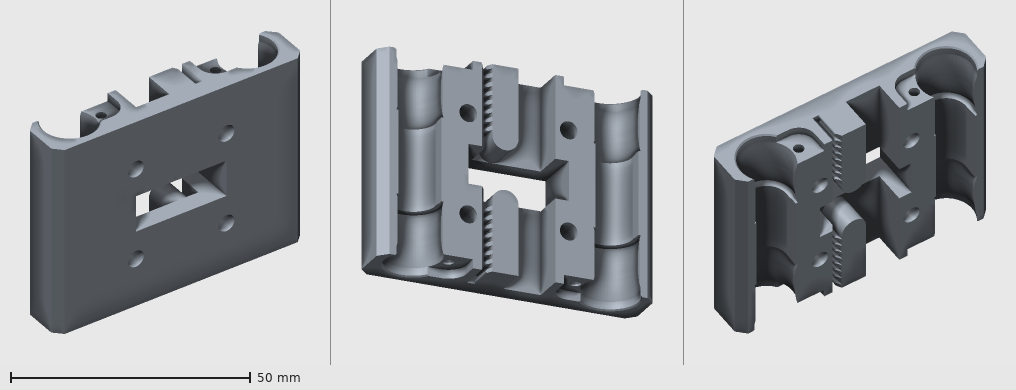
import cadquery as cq

THICKNESS = 12.0
LENGTH = 63.0
HEIGHT = 47.0
CORNER_CHAMFER = 2.0

CHANNEL_Y = 22.5
CHANNEL_X = 3.5
CHANNEL_RADIUS = 5.0
OPENING_NARROWING = 0.03
SEAT_RADIUS = 6.4
SEAT_NECK_RADIUS = 5.8
SEAT_OPENING = 10.2
SEAT_DEPTH = 14.0
SEAT_RIM_LENGTH = 2.0
NECK_LENGTH = 2.0
RIM_CHAMFER = 0.3
BORE_LIP_RADIUS = 5.4
BORE_LIP_LENGTH = 0.2

RECESS_X = 7.55
POCKET_DEPTH = 2.0
POCKET_EDGE_Y = 10.4
POCKET_CORNER_RADIUS = 4.05
SCREW_Y = 14.5
SCREW_RADIUS = 1.2
SCREW_DEPTH = 6.3

MOUNT_OFFSET = 11.45
MOUNT_RADIUS = 2.0
WINDOW_LENGTH = 2 * MOUNT_OFFSET
WINDOW_HEIGHT = 9.0

RECESS_LOW_Y = -8.4
BELT_WALL_Y = 7.4
BELT_LEAD_WIDTH = 1.0
BELT_LEAD_LENGTH = 1.45
POST_WIDTH = 6.0
TOOTH_COUNT = 8
TOOTH_RADIUS = 0.5
TOOTH_HEIGHT = 0.9
FIRST_TOOTH_Z = 9.1
LAST_TOOTH_Z = 23.05
TOOTH_PITCH = (LAST_TOOTH_Z - FIRST_TOOTH_Z) / (TOOTH_COUNT - 1)

HALF_HEIGHT = HEIGHT / 2


def box(x_range, y_range, z_range):
    """Axis-aligned box between the given pairs of limits."""
    low, high = zip(x_range, y_range, z_range)
    size = [b - a for a, b in zip(low, high)]
    return cq.Workplane("XY").box(*size, centered=False).translate(low)


def mirrored_in_z(shape):
    """Shape joined with its mirror image below Z = 0."""
    return shape.union(shape.mirror("XY"))


def channel_cutter(channel_y):
    """Channel with barrel-shaped seats, open to the front face."""
    inner_z = HALF_HEIGHT - SEAT_DEPTH
    rim_z = HALF_HEIGHT - SEAT_RIM_LENGTH
    neck_mid_z = (inner_z + rim_z) / 2
    neck_low_z = neck_mid_z - NECK_LENGTH / 2
    neck_high_z = neck_mid_z + NECK_LENGTH / 2

    flare_length = neck_low_z - inner_z
    rise = SEAT_RADIUS - SEAT_NECK_RADIUS
    flare_radius = (flare_length**2 + rise**2) / (2 * rise)
    seat = (
        cq.Workplane("XZ")
        .lineTo(CHANNEL_RADIUS, 0)
        .lineTo(CHANNEL_RADIUS, inner_z - BORE_LIP_LENGTH)
        .lineTo(BORE_LIP_RADIUS, inner_z)
        .lineTo(SEAT_RADIUS, inner_z)
        .radiusArc((SEAT_NECK_RADIUS, neck_low_z), flare_radius)
        .lineTo(SEAT_NECK_RADIUS, neck_high_z)
        .radiusArc((SEAT_RADIUS, rim_z), flare_radius)
        .lineTo(SEAT_RADIUS, HALF_HEIGHT - RIM_CHAMFER)
        .lineTo(SEAT_RADIUS + RIM_CHAMFER, HALF_HEIGHT)
        .lineTo(0, HALF_HEIGHT)
        .close()
        .revolve(360, (0, 0), (0, 1))
        .translate((CHANNEL_X, channel_y, 0))
    )
    half_opening = SEAT_OPENING / 2
    seat_opening = box(
        (0, CHANNEL_X),
        (channel_y - half_opening, channel_y + half_opening),
        (inner_z, HALF_HEIGHT),
    )
    half_channel = CHANNEL_RADIUS - OPENING_NARROWING
    channel_opening = box(
        (0, CHANNEL_X),
        (channel_y - half_channel, channel_y + half_channel),
        (-HALF_HEIGHT, HALF_HEIGHT),
    )
    return mirrored_in_z(seat.union(seat_opening)).union(channel_opening)


def pocket_cutter(side):
    """Shallow end pockets and screw holes on one side (+1 or -1) of Y = 0."""
    floor_z = HALF_HEIGHT - POCKET_DEPTH
    pocket = (
        box((0, RECESS_X), (POCKET_EDGE_Y, CHANNEL_Y), (floor_z, HALF_HEIGHT))
        .edges("|Z and >X and <Y")
        .fillet(POCKET_CORNER_RADIUS)
    )
    screw_hole = (
        cq.Workplane("XY", origin=(CHANNEL_X, SCREW_Y, floor_z))
        .circle(SCREW_RADIUS)
        .extrude(-SCREW_DEPTH)
    )
    cutter = mirrored_in_z(pocket.union(screw_hole))
    return cutter if side > 0 else cutter.mirror("XZ")


def belt_recess_cutter():
    """Full-height recess; its belt wall has lead-ins at the front and both ends."""
    recess = box((0, RECESS_X), (RECESS_LOW_Y, BELT_WALL_Y), (-HALF_HEIGHT, HALF_HEIGHT))
    mouth_y = BELT_WALL_Y + BELT_LEAD_WIDTH
    front_lead = (
        cq.Workplane("XY", origin=(0, 0, -HALF_HEIGHT))
        .polyline([(0, BELT_WALL_Y), (0, mouth_y), (BELT_LEAD_LENGTH, BELT_WALL_Y)])
        .close()
        .extrude(HEIGHT)
    )
    lead_end_z = HALF_HEIGHT - BELT_LEAD_LENGTH
    end_lead = (
        cq.Workplane("YZ")
        .polyline([(BELT_WALL_Y, HALF_HEIGHT), (mouth_y, HALF_HEIGHT), (BELT_WALL_Y, lead_end_z)])
        .close()
        .extrude(RECESS_X)
    )
    return recess.union(front_lead).union(mirrored_in_z(end_lead))


def belt_post():
    """Upper post: round lower end, belt teeth on its +Y side."""
    end_radius = POST_WIDTH / 2
    round_z = WINDOW_HEIGHT / 2 + end_radius
    post = box((0, RECESS_X), (0, POST_WIDTH), (round_z, HALF_HEIGHT)).union(
        cq.Workplane("YZ", origin=(0, end_radius, round_z)).circle(end_radius).extrude(RECESS_X)
    )

    tip_y = POST_WIDTH + TOOTH_HEIGHT
    crown_y = tip_y - TOOTH_RADIUS
    teeth = cq.Workplane("YZ")
    for index in range(TOOTH_COUNT):
        z = FIRST_TOOTH_Z + index * TOOTH_PITCH
        tooth = (
            cq.Workplane("YZ")
            .moveTo(end_radius, z - TOOTH_RADIUS)
            .lineTo(crown_y, z - TOOTH_RADIUS)
            .threePointArc((tip_y, z), (crown_y, z + TOOTH_RADIUS))
            .lineTo(end_radius, z + TOOTH_RADIUS)
            .close()
            .extrude(RECESS_X)
        )
        teeth = teeth.add(tooth)

    tooth_envelope = (
        cq.Workplane("XY")
        .polyline([
            (0, end_radius),
            (0, POST_WIDTH),
            (BELT_LEAD_LENGTH, tip_y),
            (RECESS_X, tip_y),
            (RECESS_X, end_radius),
        ])
        .close()
        .extrude(HALF_HEIGHT)
    )
    return post.union(teeth.combine().intersect(tooth_envelope))


def mounting_hole_cutter():
    """Four through holes on a square pattern."""
    spacing = 2 * MOUNT_OFFSET
    return cq.Workplane("YZ").rarray(spacing, spacing, 2, 2).circle(MOUNT_RADIUS).extrude(THICKNESS)


block = (
    cq.Workplane("XY")
    .box(THICKNESS, LENGTH, HEIGHT)
    .translate((THICKNESS / 2, 0, 0))
    .edges("|Z")
    .chamfer(CORNER_CHAMFER)
)
for side in (1, -1):
    block = block.cut(channel_cutter(side * CHANNEL_Y)).cut(pocket_cutter(side))

window = cq.Workplane("YZ").rect(WINDOW_LENGTH, WINDOW_HEIGHT).extrude(THICKNESS)

result = (
    block.cut(belt_recess_cutter())
    .union(mirrored_in_z(belt_post()))
    .cut(window)
    .cut(mounting_hole_cutter())
)